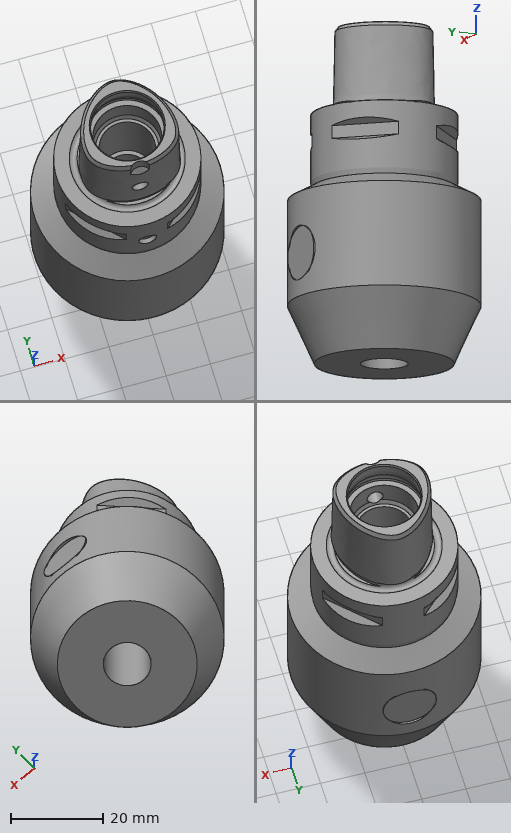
import cadquery as cq
import math

TOTAL_HEIGHT = 74.0
NOSE_TOP_Z = 12.8
BODY_TOP_Z = 36.05
FLANGE_BOTTOM_Z = 38.85
FLANGE_CHAMFER_Z = 40.0
FLANGE_TOP_Z = 55.05
NECK_TOP_Z = 56.4
COLLAR_TOP_Z = 57.5
SHANK_CHAMFER_Z = 73.1

NOSE_DIA = 30.35
BODY_DIA = 42.0
FLANGE_FOOT_DIA = 31.6
FLANGE_DIA = 32.0

LOBE_HEIGHT = 0.7
LOBES = 3
POLYGON_SAMPLES = 36
NECK_DIA = 21.45
COLLAR_DIA = 22.05
SHANK_BASE_DIA = 21.9
SHANK_TIP_DIA = 21.3
SHANK_TOP_DIA = 20.0

GROOVE_RING_DIA = 23.45
GROOVE_SECTION_RADIUS = 1.0
GROOVE_CENTRE_Z = 55.65

THROUGH_DIA = 10.35
SCREW_BORE_DIA = 12.3
SHELF_DIA = 13.8
CLAMP_BORE_DIA = 15.0
MOUTH_DIA = 16.0
MOUTH_RIM_DIA = 16.5
MOUTH_FLARE_DIA = 16.7
LEDGE_DIA = 17.6
UNDERCUT_DIA = 18.05
MOUTH_CHAMFER_DEPTH = 0.4
MOUTH_DEPTH = 2.3
MOUTH_FLARE_DEPTH = 4.15
UNDERCUT_START_DEPTH = 4.9
UNDERCUT_END_DEPTH = 6.45
LEDGE_DEPTH = 6.9
CLAMP_BORE_DEPTH = 12.35
SHELF_DEPTH = 13.1
SCREW_BORE_DEPTH = 29.6

POCKET_COUNT = 4
POCKET_CHORD = 15.0
POCKET_FLOOR_BOTTOM_Z = 47.6
POCKET_FLOOR_TOP_Z = 50.4
POCKET_FLARE = 0.95

KEYWAY_DIA = 5.0
KEYWAY_AXIS_Y = -11.2
KEYWAY_WALL_BOTTOM_Z = 70.8
KEYWAY_POINT_LENGTH = 1.9
PIN_HOLE_DIA = 3.6
PIN_HOLE_Z = 63.05
DIMPLE_DIA = 4.0
DIMPLE_Z = 45.95
DIMPLE_STRAIGHT_DEPTH = 1.1
DRILL_POINT_ANGLE = 118.0

SCREW_DIA = 12.0
SCREW_Z = 22.5
SCREW_TIP_Y = 4.5
SCREW_HEAD_Y = 20.5


def revolve_profile(points):
    """Revolve an outline of (radius, height) points about the Z axis."""
    return cq.Workplane("XZ").polyline(points).close().revolve(360, (0, 0), (0, 1))


def polygon_wire(mean_dia, z):
    """Closed three-lobed curve of constant width, with one lobe toward +Y."""
    points = []
    for i in range(POLYGON_SAMPLES):
        angle = 2 * math.pi * i / POLYGON_SAMPLES
        reach = mean_dia / 2 + LOBE_HEIGHT * math.cos(LOBES * angle)
        slope = -LOBES * LOBE_HEIGHT * math.sin(LOBES * angle)
        x = -reach * math.sin(angle) - slope * math.cos(angle)
        y = reach * math.cos(angle) - slope * math.sin(angle)
        points.append(cq.Vector(x, y, z))
    return cq.Wire.assembleEdges([cq.Edge.makeSpline(points, periodic=True)])


def polygon_section(bottom_dia, bottom_z, top_dia, top_z):
    """Straight or tapered length of the polygon shank."""
    wires = [polygon_wire(bottom_dia, bottom_z), polygon_wire(top_dia, top_z)]
    return cq.Workplane(cq.Solid.makeLoft(wires, True))


def make_body():
    return revolve_profile([
        (0, 0),
        (NOSE_DIA / 2, 0),
        (BODY_DIA / 2, NOSE_TOP_Z),
        (BODY_DIA / 2, BODY_TOP_Z),
        (FLANGE_FOOT_DIA / 2, FLANGE_BOTTOM_Z),
        (FLANGE_DIA / 2, FLANGE_CHAMFER_Z),
        (FLANGE_DIA / 2, FLANGE_TOP_Z),
        (0, FLANGE_TOP_Z),
    ])


def make_shank():
    neck = polygon_section(NECK_DIA, FLANGE_TOP_Z, NECK_DIA, NECK_TOP_Z)
    collar = polygon_section(COLLAR_DIA, NECK_TOP_Z, SHANK_BASE_DIA, COLLAR_TOP_Z)
    taper = polygon_section(SHANK_BASE_DIA, COLLAR_TOP_Z, SHANK_TIP_DIA, SHANK_CHAMFER_Z)
    tip = polygon_section(SHANK_TIP_DIA, SHANK_CHAMFER_Z, SHANK_TOP_DIA, TOTAL_HEIGHT)
    return neck.union(collar).union(taper).union(tip)


def ring_groove():
    section = cq.Workplane("XZ").center(GROOVE_RING_DIA / 2, GROOVE_CENTRE_Z)
    axis_x = -GROOVE_RING_DIA / 2
    return section.circle(GROOVE_SECTION_RADIUS).revolve(360, (axis_x, 0), (axis_x, 1))


def stepped_bore():
    steps = [
        (MOUTH_RIM_DIA, 0),
        (MOUTH_DIA, MOUTH_CHAMFER_DEPTH),
        (MOUTH_DIA, MOUTH_DEPTH),
        (MOUTH_FLARE_DIA, MOUTH_FLARE_DEPTH),
        (UNDERCUT_DIA, UNDERCUT_START_DEPTH),
        (UNDERCUT_DIA, UNDERCUT_END_DEPTH),
        (LEDGE_DIA, LEDGE_DEPTH),
        (CLAMP_BORE_DIA, LEDGE_DEPTH),
        (CLAMP_BORE_DIA, CLAMP_BORE_DEPTH),
        (SHELF_DIA, SHELF_DEPTH),
        (SCREW_BORE_DIA, SHELF_DEPTH),
        (SCREW_BORE_DIA, SCREW_BORE_DEPTH),
        (THROUGH_DIA, SCREW_BORE_DEPTH),
        (THROUGH_DIA, TOTAL_HEIGHT),
    ]
    outline = [(dia / 2, TOTAL_HEIGHT - depth) for dia, depth in steps]
    return revolve_profile([(0, TOTAL_HEIGHT)] + outline + [(0, 0)])


def gripper_pocket(angle):
    """Chordal notch in the flange with a flat floor and flared flanks."""
    flange_radius = FLANGE_DIA / 2
    floor_distance = math.sqrt(flange_radius**2 - (POCKET_CHORD / 2) ** 2)
    section = [
        (floor_distance, POCKET_FLOOR_BOTTOM_Z),
        (flange_radius, POCKET_FLOOR_BOTTOM_Z - POCKET_FLARE),
        (flange_radius, POCKET_FLOOR_TOP_Z + POCKET_FLARE),
        (floor_distance, POCKET_FLOOR_TOP_Z),
    ]
    notch = cq.Workplane("XZ").polyline(section).close().extrude(FLANGE_DIA / 2, both=True)
    return notch.rotate((0, 0, 0), (0, 0, 1), angle)


def keyway():
    """Upright round notch in the rim with a conical floor."""
    radius = KEYWAY_DIA / 2
    return revolve_profile([
        (0, KEYWAY_WALL_BOTTOM_Z - KEYWAY_POINT_LENGTH),
        (radius, KEYWAY_WALL_BOTTOM_Z),
        (radius, TOTAL_HEIGHT),
        (0, TOTAL_HEIGHT),
    ]).translate((0, KEYWAY_AXIS_Y, 0))


def cylinder_along_y(dia, z, start_y, end_y):
    plane = cq.Workplane("XZ", origin=(0, end_y, z))
    return plane.circle(dia / 2).extrude(end_y - start_y)


def dimple():
    """Shallow drilled hole with a conical bottom."""
    radius = DIMPLE_DIA / 2
    straight_end_y = -FLANGE_DIA / 2 + DIMPLE_STRAIGHT_DEPTH
    point_length = radius / math.tan(math.radians(DRILL_POINT_ANGLE / 2))
    hole = cylinder_along_y(DIMPLE_DIA, DIMPLE_Z, -FLANGE_DIA / 2, straight_end_y)
    point = cq.Solid.makeCone(
        radius, 0, point_length, cq.Vector(0, straight_end_y, DIMPLE_Z), cq.Vector(0, 1, 0)
    )
    return hole.union(cq.Workplane(point))


holder = make_body().union(make_shank())
holder = holder.cut(ring_groove()).cut(stepped_bore())
for index in range(POCKET_COUNT):
    holder = holder.cut(gripper_pocket((index + 0.5) * 360 / POCKET_COUNT))
holder = holder.cut(keyway()).cut(dimple())

holder = holder.cut(cylinder_along_y(PIN_HOLE_DIA, PIN_HOLE_Z, -SHANK_BASE_DIA / 2, 0))

holder = holder.cut(cylinder_along_y(SCREW_DIA, SCREW_Z, SCREW_HEAD_Y, BODY_DIA / 2))
result = holder.union(cylinder_along_y(SCREW_DIA, SCREW_Z, SCREW_TIP_Y, SCREW_HEAD_Y))